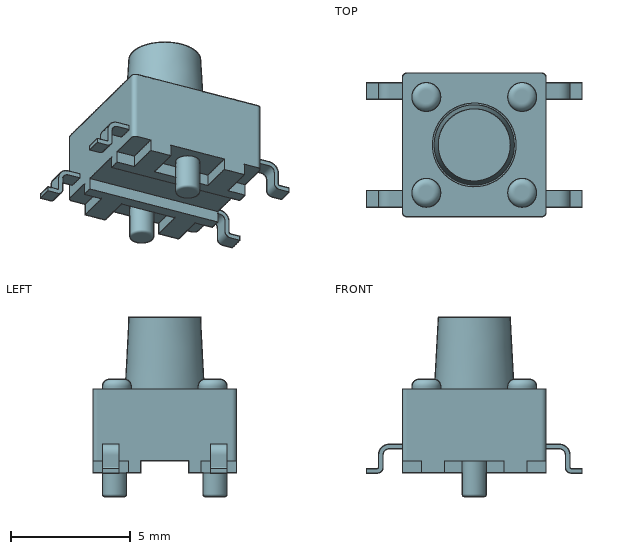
import cadquery as cq
import math


body_side = 6.0
body_top = 3.5
corner_radius = 0.2
half_side = body_side / 2

foot_height = 0.5
rail_inner_y = 1.0
rail_outer_y = 1.5
spur_inner_x = 1.25
spur_outer_x = 2.2

rivet_radius = 0.6
rivet_height = 0.405
rivet_fillet = 0.3
rivet_offset = 2.0

peg_radius = 0.5
peg_drop = 1.0
peg_fillet = 0.1
peg_offset = 2.1

lead_span = 9.0
lead_thickness = 0.2
lead_width = 0.7
lead_offset = 2.25
lead_bottom = -0.02
lead_top = 1.2
lead_outer_x = 4.0
upper_inner_radius = 0.25
lower_inner_radius = 0.05

recess_radius = 1.75
recess_depth = 0.2
plunger_top = 6.5
plunger_top_radius = 1.5
plunger_base_radius = 1.67
recess_floor = body_top - recess_depth


def foot_block(x_min, x_max, y_min, y_max):
    """Block of foot height, standing on the level of the housing's underside."""
    block = cq.Workplane("XY").box(x_max - x_min, y_max - y_min, foot_height, centered=False)
    return block.translate((x_min, y_min, 0))


def make_block():
    """Main block above the feet, with rounded vertical corners."""
    block = cq.Workplane("XY").workplane(offset=foot_height)
    block = block.rect(body_side, body_side).extrude(body_top - foot_height)
    return block.edges("|Z").fillet(corner_radius)


def make_rail_with_spurs():
    """Feet on the +Y side: a rail across the full width and two spurs to the wall."""
    rail = foot_block(-half_side, half_side, rail_inner_y, rail_outer_y)
    right_spur = foot_block(spur_inner_x, spur_outer_x, rail_outer_y, half_side)
    left_spur = foot_block(-spur_outer_x, -spur_inner_x, rail_outer_y, half_side)
    return rail.union(right_spur).union(left_spur)


def make_rivet(x, y):
    """Round rivet head with a rounded top edge."""
    rivet = cq.Workplane("XY").workplane(offset=body_top).center(x, y)
    rivet = rivet.circle(rivet_radius).extrude(rivet_height)
    return rivet.faces(">Z").edges().fillet(rivet_fillet)


def make_peg(y):
    """Round peg from the block's underside, with a rounded lower edge."""
    peg = cq.Workplane("XY").workplane(offset=-peg_drop).center(0, y)
    peg = peg.circle(peg_radius).extrude(peg_drop + foot_height)
    return peg.faces("<Z").edges().fillet(peg_fillet)


def make_lead(y):
    """Strip on the +X side that leaves the wall, bends down and ends in a flat foot."""
    upper_outer_radius = upper_inner_radius + lead_thickness
    lower_outer_radius = lower_inner_radius + lead_thickness
    inner_x = lead_outer_x - lead_thickness
    end_x = lead_span / 2
    upper_center = (lead_outer_x - upper_outer_radius, lead_top - upper_outer_radius)
    lower_center = (inner_x + lower_outer_radius, lead_bottom + lower_outer_radius)
    diagonal = math.sqrt(0.5)

    def arc_middle(center, radius, direction):
        """Point halfway along a quarter arc, up and right (1) or down and left (-1) of its center."""
        shift = direction * radius * diagonal
        return (center[0] + shift, center[1] + shift)

    profile = (
        cq.Workplane("XZ", origin=(0, y + lead_width / 2, 0))
        .moveTo(half_side, lead_top)
        .lineTo(upper_center[0], lead_top)
        .threePointArc(arc_middle(upper_center, upper_outer_radius, 1), (lead_outer_x, upper_center[1]))
        .lineTo(lead_outer_x, lower_center[1])
        .threePointArc(
            arc_middle(lower_center, lower_inner_radius, -1),
            (lower_center[0], lead_bottom + lead_thickness),
        )
        .lineTo(end_x, lead_bottom + lead_thickness)
        .lineTo(end_x, lead_bottom)
        .lineTo(lower_center[0], lead_bottom)
        .threePointArc(arc_middle(lower_center, lower_outer_radius, -1), (inner_x, lower_center[1]))
        .lineTo(inner_x, upper_center[1])
        .threePointArc(
            arc_middle(upper_center, upper_inner_radius, 1),
            (upper_center[0], lead_top - lead_thickness),
        )
        .lineTo(half_side, lead_top - lead_thickness)
        .close()
    )
    return profile.extrude(lead_width)


def make_housing():
    """Housing with its feet, rivets, pegs and leads, and the plunger recess."""
    housing = make_block()
    feet = make_rail_with_spurs()
    housing = housing.union(feet).union(feet.mirror("XZ"))
    for side_y in (-1, 1):
        housing = housing.union(make_peg(side_y * peg_offset))
        lead = make_lead(side_y * lead_offset)
        housing = housing.union(lead).union(lead.mirror("YZ"))
        for side_x in (-1, 1):
            housing = housing.union(make_rivet(side_x * rivet_offset, side_y * rivet_offset))
    recess = cq.Workplane("XY").workplane(offset=recess_floor)
    recess = recess.circle(recess_radius).extrude(recess_depth)
    return housing.cut(recess)


def make_plunger():
    """Tapered round plunger that stands on the recess floor."""
    cone = cq.Solid.makeCone(
        plunger_base_radius,
        plunger_top_radius,
        plunger_top - recess_floor,
        pnt=cq.Vector(0, 0, recess_floor),
    )
    return cq.Workplane(cone)


housing = make_housing()
plunger = make_plunger()
result = cq.Compound.makeCompound([housing.solids().val(), plunger.val()])